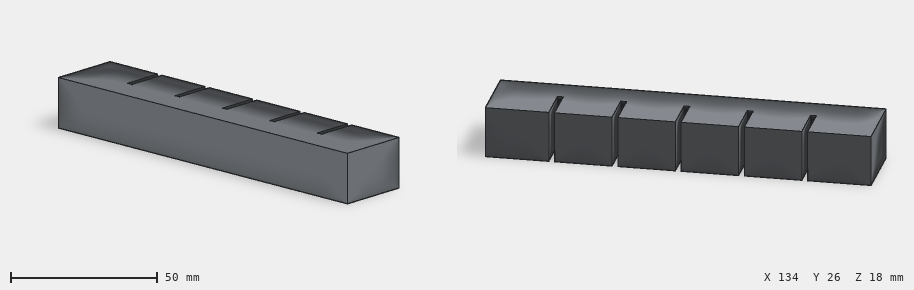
import cadquery as cq

length = 134.0
depth = 26.0
height = 18.0

slot_count = 5
slot_pitch = 22.0
slot_width = 2.0
slot_depth = 15.0


def make_bar():
    return cq.Workplane("XY").box(length, depth, height)


def make_slots():
    """Evenly spaced slots, centred along the bar and open at its +Y face."""
    middle_index = (slot_count - 1) / 2
    slot_y = (depth - slot_depth) / 2
    centers = [((i - middle_index) * slot_pitch, slot_y) for i in range(slot_count)]
    return cq.Workplane("XY").pushPoints(centers).box(slot_width, slot_depth, height)


result = make_bar().cut(make_slots())